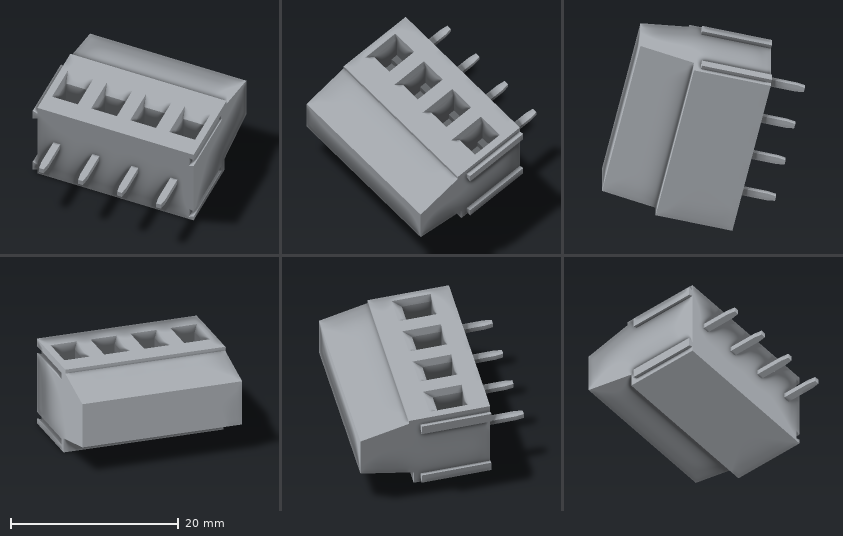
import cadquery as cq


pole_count = 4
overall_width = 20.92
dovetail_depth = 0.6
housing_width = overall_width - dovetail_depth
pitch = housing_width / pole_count
housing_length = 15.98
housing_height = 11.0
upper_shoulder_length = 10.0
upper_shoulder_drop = 0.5
lower_shoulder_length = 9.41
lower_shoulder_rise = 1.85
end_face_top_drop = 2.05
end_face_bottom_rise = 3.33

pin_width = 0.9
pin_thickness = 0.67
pin_length = 4.7
pin_tip_width = 0.6
pin_tip_length = 1.0
pin_height = 5.71
pin_embedment = 0.42

mouth_width = 3.35
mouth_start = 2.45
mouth_length = 4.81
mouth_depth = 1.0
mouth_side_taper = 0.27
mouth_end_taper = 1.17
chamber_width = mouth_width - 2 * mouth_side_taper
chamber_length = mouth_length - mouth_end_taper
chamber_depth = 6.0
ledge_length = 0.84
ledge_height = 1.0

dovetail_length = 8.58
dovetail_flank_inset = 0.25
groove_clearance = 0.05
upper_dovetail_width = 1.34
lower_dovetail_width = 1.28
upper_dovetail_drop = 0.73
lower_dovetail_rise = 0.42
upper_dovetail_center = housing_height - upper_dovetail_drop - upper_dovetail_width / 2
lower_dovetail_center = lower_dovetail_rise + lower_dovetail_width / 2
dovetails = [
    (upper_dovetail_center, upper_dovetail_width),
    (lower_dovetail_center, lower_dovetail_width),
]


def make_housing():
    """Side profile in the YZ plane, extruded along X."""
    profile = [
        (0, 0),
        (lower_shoulder_length, 0),
        (lower_shoulder_length, lower_shoulder_rise),
        (housing_length, end_face_bottom_rise),
        (housing_length, housing_height - end_face_top_drop),
        (upper_shoulder_length, housing_height - upper_shoulder_drop),
        (upper_shoulder_length, housing_height),
        (0, housing_height),
    ]
    return cq.Workplane("YZ").polyline(profile).close().extrude(housing_width)


def make_dovetail(face_x, center_z, width):
    """Dovetail bar whose wide face lies at face_x and whose neck is toward +X."""
    half_wide = width / 2
    half_neck = half_wide - dovetail_flank_inset
    neck_x = face_x + dovetail_depth
    section = [
        (face_x, center_z - half_wide),
        (neck_x, center_z - half_neck),
        (neck_x, center_z + half_neck),
        (face_x, center_z + half_wide),
    ]
    return cq.Workplane("XZ").polyline(section).close().extrude(-dovetail_length)


def make_wire_opening(center_x):
    """Volume removed for one wire opening."""
    mouth_center_y = mouth_start + mouth_length / 2
    chamber_center_y = mouth_start + chamber_length / 2
    mouth = (
        cq.Workplane("XY", origin=(center_x, 0, housing_height))
        .center(0, mouth_center_y)
        .rect(mouth_width, mouth_length)
        .workplane(offset=-mouth_depth)
        .center(0, chamber_center_y - mouth_center_y)
        .rect(chamber_width, chamber_length)
        .loft(ruled=True)
    )
    chamber = cq.Workplane("XY").box(
        chamber_width, chamber_length, chamber_depth - mouth_depth, centered=(True, False, False)
    )
    ledge = cq.Workplane("XY").box(
        chamber_width, ledge_length, ledge_height, centered=(True, False, False)
    )
    floor_z = housing_height - chamber_depth
    stepped_chamber = chamber.cut(ledge).translate((center_x, mouth_start, floor_z))
    return mouth.union(stepped_chamber)


def make_pin(center_x):
    """Flat pin pointing toward -Y, narrowed at its tip and rooted in the housing."""
    half_width = pin_width / 2
    half_tip = pin_tip_width / 2
    taper_y = pin_tip_length - pin_length
    outline = [
        (center_x - half_width, pin_embedment),
        (center_x - half_width, taper_y),
        (center_x - half_tip, -pin_length),
        (center_x + half_tip, -pin_length),
        (center_x + half_width, taper_y),
        (center_x + half_width, pin_embedment),
    ]
    pin_plane = cq.Workplane("XY", origin=(0, 0, pin_height))
    return pin_plane.polyline(outline).close().extrude(pin_thickness / 2, both=True)


result = make_housing()

for center_z, width in dovetails:
    rib = make_dovetail(-dovetail_depth, center_z, width)
    groove = make_dovetail(housing_width - dovetail_depth, center_z, width + 2 * groove_clearance)
    result = result.union(rib).cut(groove)

for pole in range(pole_count):
    pole_x = (pole + 0.5) * pitch
    result = result.cut(make_wire_opening(pole_x)).union(make_pin(pole_x))